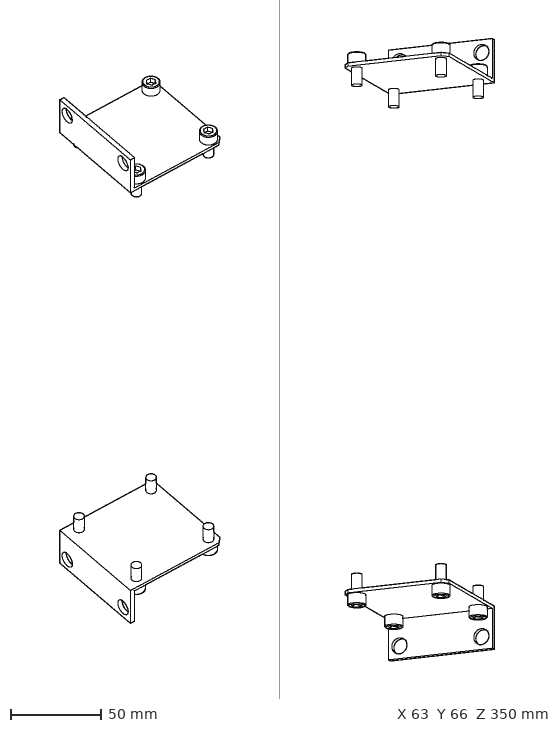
import cadquery as cq

overall_height = 350.0

plate_size = 63.0
plate_thickness = 2.0
plate_corner_chamfer = 3.32
flange_thickness = 3.0
flange_height = 25.0
overall_depth = plate_size + flange_thickness

hole_diameter = 9.0
hole_side_offset = 6.5
hole_top_offset = 7.5

screw_edge_offset = 6.0
head_diameter = 10.0
head_height = 6.3
head_chamfer = 0.52
shank_diameter = 6.0
shank_projection = 9.8
socket_width = 5.0
socket_depth = 3.0
socket_sides = 6
socket_corner_width = socket_width * 2 / 3 ** 0.5
socket_turn = 90


def make_plate():
    """Flat plate with its underside at Z = 0 and its two rear corners chamfered."""
    plate = cq.Workplane("XY").box(plate_size, overall_depth, plate_thickness, centered=(True, False, False))
    return plate.edges("|Z and >Y").chamfer(plate_corner_chamfer)


def make_flange():
    """Upright wall along the front edge, with a mounting hole near each upper corner."""
    flange = cq.Workplane("XY").box(plate_size, flange_thickness, flange_height, centered=(True, False, False))
    hole_x = plate_size / 2 - hole_side_offset
    hole_z = flange_height - hole_top_offset
    holes = (
        cq.Workplane("XZ")
        .pushPoints([(-hole_x, hole_z), (hole_x, hole_z)])
        .circle(hole_diameter / 2)
        .extrude(-flange_thickness)
    )
    return flange.cut(holes)


def make_screw():
    """Socket head cap screw on the Z axis, its head resting on top of the plate."""
    shank = cq.Workplane("XY").workplane(offset=-shank_projection).circle(shank_diameter / 2)
    shank = shank.extrude(shank_projection + plate_thickness)
    head = cq.Workplane("XY").workplane(offset=plate_thickness).circle(head_diameter / 2).extrude(head_height)
    head = head.faces(">Z").edges().chamfer(head_chamfer)
    socket = (
        cq.Workplane("XY")
        .workplane(offset=plate_thickness + head_height - socket_depth)
        .transformed(rotate=(0, 0, socket_turn))
        .polygon(socket_sides, socket_corner_width)
        .extrude(socket_depth)
    )
    return shank.union(head).cut(socket)


def make_bracket():
    """Plate, flange and four screws as one solid, flange pointing up."""
    bracket = make_plate().union(make_flange())
    screw = make_screw()
    screw_x = plate_size / 2 - screw_edge_offset
    rear_y = overall_depth - screw_edge_offset
    for x in (-screw_x, screw_x):
        for y in (rear_y - 2 * screw_x, rear_y):
            bracket = bracket.union(screw.translate((x, y, 0)))
    return bracket


bracket = make_bracket()
upper_bracket = bracket.translate((0, 0, overall_height / 2 - flange_height))
lower_bracket = upper_bracket.mirror("XY")

result = cq.Compound.makeCompound([upper_bracket.val(), lower_bracket.val()])